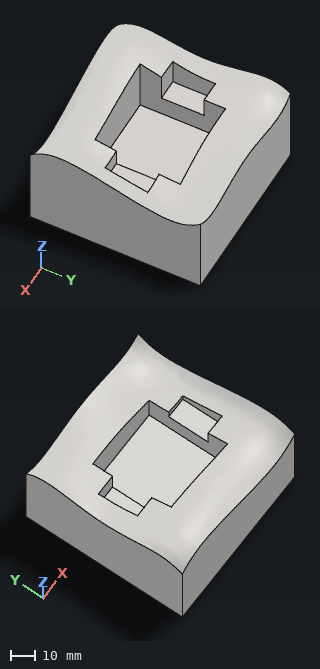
import cadquery as cq
import math

side = 80.0
corner_height = 40.0
half = side / 2

wave_rise = side / 16
ripple_rise = 0.6 * wave_rise

wave_slope = 0.9
ripple_slope = 0.8

grid_spans = 40
surface_tolerance = 0.01

pocket_side = 40.0
pocket_floor = 20.0
slot_length = 60.0
slot_width = 20.0
slot_floor = 30.0
clear_height = 2 * corner_height


def edge_rises(first_rise, last_rise, slope):
    """Rise above the corner height at every grid station along one top edge.

    The edge is level with the corners at mid-span and has the given rises at its
    quarter points. The slope is its steepness at both ends.
    """
    rises = [0, first_rise, 0, last_rise, 0]
    stations = [i / (len(rises) - 1) for i in range(len(rises))]
    points = [cq.Vector(side * t, 0, rise) for t, rise in zip(stations, rises)]
    leaving = cq.Vector(side, 0, math.copysign(side * slope, first_rise))
    arriving = cq.Vector(side, 0, -math.copysign(side * slope, last_rise))
    curve = cq.Edge.makeSpline(
        points, tangents=[leaving, arriving], parameters=stations, scale=False
    )
    return [
        curve.positionAt(i / grid_spans, mode="parameter").z for i in range(grid_spans + 1)
    ]


def top_surface():
    """Smooth surface blended linearly between the four top edges (a Coons patch)."""
    front = edge_rises(wave_rise, -wave_rise, wave_slope)
    right = edge_rises(wave_rise, -wave_rise, wave_slope)
    back = edge_rises(-ripple_rise, -ripple_rise, ripple_slope)
    left = edge_rises(ripple_rise, ripple_rise, ripple_slope)
    grid = []
    for i in range(grid_spans + 1):
        u = i / grid_spans
        row = []
        for j in range(grid_spans + 1):
            v = j / grid_spans
            along_x = (1 - v) * front[i] + v * back[i]
            along_y = (1 - u) * left[j] + u * right[j]
            height = corner_height + along_x + along_y
            row.append(cq.Vector(side * u - half, side * v - half, height))
        grid.append(row)
    return cq.Face.makeSplineApprox(grid, tol=surface_tolerance)


def side_wall(edge):
    """Flat wall from the ground up to one edge of the top surface."""
    start = edge.startPoint()
    end = edge.endPoint()
    ground_start = cq.Vector(start.x, start.y, 0)
    ground_end = cq.Vector(end.x, end.y, 0)
    outline = [
        edge,
        cq.Edge.makeLine(end, ground_end),
        cq.Edge.makeLine(ground_end, ground_start),
        cq.Edge.makeLine(ground_start, start),
    ]
    return cq.Face.makeFromWires(cq.Wire.assembleEdges(outline))


def wavy_block():
    """Square block closed by the top surface, four walls and a flat base."""
    top = top_surface()
    walls = [side_wall(edge) for edge in top.Edges()]
    base = cq.Face.makePlane(side, side)
    shell = cq.Shell.makeShell([top, base] + walls)
    return cq.Workplane(cq.Solid.makeSolid(shell))


def pocket(length, width, floor):
    """Centred rectangular cutter from a floor height up through the top."""
    cutter = cq.Workplane().workplane(offset=floor)
    return cutter.rect(length, width).extrude(clear_height - floor)


result = (
    wavy_block()
    .cut(pocket(pocket_side, pocket_side, pocket_floor))
    .cut(pocket(slot_length, slot_width, slot_floor))
)